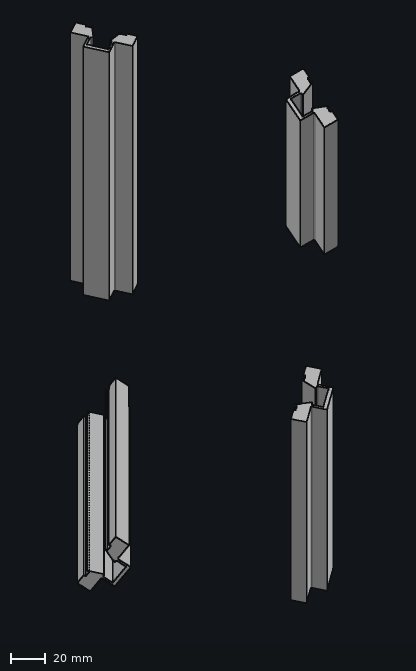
import cadquery as cq

overall_width = 38.1
overall_depth = 19.05
length = 190.5

block_depth = overall_depth / 2
tip_gap = 10.2
tip_land = 0.65
rear_gap = 17.5

groove_depth = 1.35
groove_outer_offset = 12.4
lip_width = 0.15

channel_width = 15.875
channel_wall = 1.35
channel_floor = 2.54
joint_radius = 0.508

rear_y = overall_depth / 2
front_y = -overall_depth / 2
block_front_y = rear_y - block_depth
floor_y = front_y + channel_floor
groove_y = rear_y - groove_depth


def side_block():
    """Block on the +X side with its inclined inner face and rear groove."""
    outer_x = overall_width / 2
    lip_x = rear_gap / 2
    return (
        cq.Workplane("XY")
        .polyline([
            (tip_gap / 2, block_front_y + tip_land),
            (tip_gap / 2, block_front_y),
            (outer_x, block_front_y),
            (outer_x, rear_y),
            (groove_outer_offset, rear_y),
            (groove_outer_offset, groove_y),
            (lip_x + lip_width, groove_y),
            (lip_x + lip_width, rear_y),
            (lip_x, rear_y),
        ])
        .close()
        .extrude(length)
    )


def channel():
    """U-shaped channel, open towards the rear, ending at the block fronts."""
    outer_x = channel_width / 2
    inner_x = outer_x - channel_wall
    return (
        cq.Workplane("XY")
        .polyline([
            (-outer_x, front_y),
            (outer_x, front_y),
            (outer_x, block_front_y),
            (inner_x, block_front_y),
            (inner_x, floor_y),
            (-inner_x, floor_y),
            (-inner_x, block_front_y),
            (-outer_x, block_front_y),
        ])
        .close()
        .extrude(length)
    )


def joint_edges(body):
    """Lengthwise corners where both sides of the channel walls meet the blocks."""
    wall_centre_x = (channel_width - channel_wall) / 2
    pick_half_width = 0.6 * channel_wall
    pick_half_depth = joint_radius / 4
    lengthwise_edges = body.edges("|Z")
    return lengthwise_edges.filter(
        lambda edge: abs(abs(edge.Center().x) - wall_centre_x) < pick_half_width
        and abs(edge.Center().y - block_front_y) < pick_half_depth
    )


right_block = side_block()
left_block = right_block.mirror("YZ")
rail = channel().union(right_block).union(left_block)
result = joint_edges(rail).fillet(joint_radius)